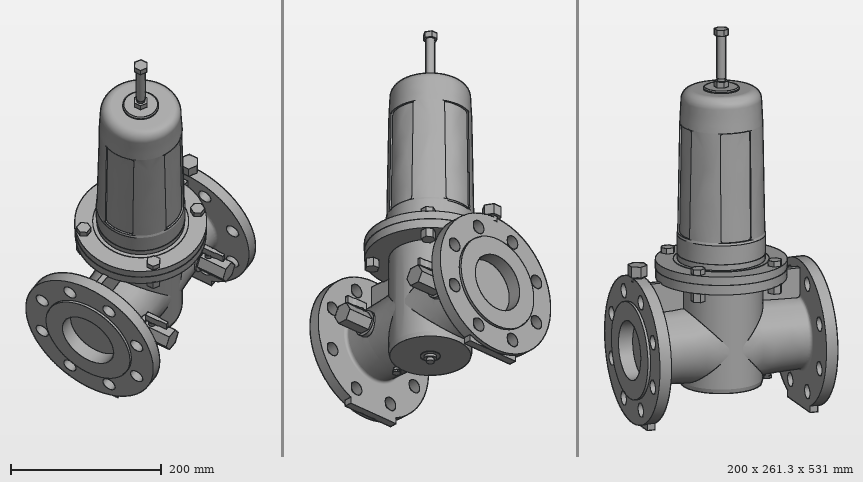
import cadquery as cq
import math


END_Y = 130.5
FLANGE_RADIUS = 100.0
FLANGE_OUTER_Y = 127.0
FLANGE_INNER_Y = 110.5
RAISED_FACE_RADIUS = 66.0
BORE_RADIUS = 40.05
BORE_DEPTH = 20.0
FLANGE_HOLE_COUNT = 8
FLANGE_HOLE_RADIUS = 9.5
FLANGE_HOLE_CIRCLE = 80.0
PIPE_END_RADIUS = 49.0
PIPE_BEND_RADIUS = 50.0
PIPE_BEND_Y = 71.5
PIPE_MIDDLE_RADIUS = 55.0
PIPE_FILLET = 4.0

FOOT_WIDTH = 82.0
FOOT_THICKNESS = 11.0
FOOT_BOTTOM = -100.5

BODY_RADIUS = 55.0
BODY_BOTTOM = -58.0
BODY_CHAMFER_RADIAL = 1.5
BODY_CHAMFER_HEIGHT = 6.0
WEB_THICKNESS = 8.0
WEB_TOP = 89.5

JOINT_BOTTOM = 88.0
JOINT_SPLIT = 101.5
JOINT_TOP = 113.0
LOWER_JOINT_RADIUS = 87.0
UPPER_JOINT_RADIUS = 87.5
JOINT_STEP_RADIUS = 63.5
JOINT_STEP_HEIGHT = 0.5
BOLT_COUNT = 4
BOLT_OFFSET = 54.5
BOLT_HEX_RADIUS = 9.5
BOLT_HEAD_HEIGHT = 7.5
NUT_HEIGHT = 12.5

COLLAR_RADIUS = 59.0
COLLAR_FOOT_RADIUS = 58.5
COLLAR_FOOT_TOP = 121.5
COLLAR_TOP = 150.5
COLLAR_CHAMFER = 3.0
TUBE_BOTTOM_RADIUS = 58.0
CAP_BOTTOM = 301.0
CAP_RADIUS = 55.0
CAP_SHOULDER_RADIUS = 53.5
CAP_SHOULDER_Z = 332.5
CAP_FLAT_RADIUS = 40.0
CAP_TOP = 347.5
PANEL_COUNT = 4
PANEL_WIDTH = 43.0
PANEL_CORNER = 3.5
PANEL_DEPTH = 2.5

TOP = 430.5
WASHER_TOP = 350.5
WASHER_RADIUS = 24.0
WASHER_CHAMFER = 1.5
SCREW_RADIUS = 6.1
SCREW_GROOVE_RADIUS = 5.55
SCREW_GROOVE_HEIGHT = 3.5
SCREW_HEX_RADIUS = 9.5
LOCK_NUT_HEIGHT = 8.0
SCREW_HEAD_HEIGHT = 8.5

TOP_PLUG_Y = 119.5
TOP_PLUG_HEX_RADIUS = 13.0
TOP_PLUG_BOTTOM = 102.5
TOP_PLUG_TOP = 117.0
TOP_PLUG_STEM_RADIUS = 8.0

COCK_Y = 70.0
COCK_HEX_RADIUS = 15.0
COCK_END_X = 94.0
COCK_BOSS_RADIUS = 17.5
COCK_BOSS_X = 53.5
SPINDLE_X = 62.0
SPINDLE_RADIUS = 5.0
LEVER_BOTTOM = 18.0
LEVER_TOP = 28.5
LEVER_WIDE_END_X = 72.0
LEVER_NARROW_START_X = 76.0
LEVER_END_X = 86.0
LEVER_WIDE_WIDTH = 6.5
LEVER_NARROW_WIDTH = 4.0

DRAIN_Y = -65.0
DRAIN_HEX_RADIUS = 6.1
DRAIN_NECK_RADIUS = 4.0
DRAIN_HEAD_TOP = -54.5
DRAIN_BOTTOM = -58.0

BOTTOM_PLUG_STEPS = [(13.0, -59.0), (8.5, -62.5), (5.5, -67.5)]


def cylinder(radius, z_bottom, z_top, x=0, y=0):
    return cq.Workplane("XY", origin=(x, y, z_bottom)).circle(radius).extrude(z_top - z_bottom)


def hexagon(radius, z_bottom, z_top, x=0, y=0, turn=0):
    """Upright hexagonal prism; two corners lie along X unless it is turned about its axis."""
    prism = cq.Workplane("XY").polygon(6, 2 * radius).extrude(z_top - z_bottom)
    return prism.rotate((0, 0, 0), (0, 0, 1), turn).translate((x, y, z_bottom))


def make_pipe_half():
    """Tapered pipe on the -Y side with a flared root, end flange, webs and foot."""
    root_y = FLANGE_INNER_Y - PIPE_FILLET
    flare_radius = PIPE_END_RADIUS + PIPE_FILLET
    flare_middle = (
        flare_radius - PIPE_FILLET * math.cos(math.pi / 4),
        -root_y - PIPE_FILLET * math.sin(math.pi / 4),
    )
    half = (
        cq.Workplane("XY")
        .moveTo(0, 0)
        .lineTo(PIPE_MIDDLE_RADIUS, 0)
        .lineTo(PIPE_BEND_RADIUS, -PIPE_BEND_Y)
        .lineTo(PIPE_END_RADIUS, -root_y)
        .threePointArc(flare_middle, (flare_radius, -FLANGE_INNER_Y))
        .lineTo(FLANGE_RADIUS, -FLANGE_INNER_Y)
        .lineTo(FLANGE_RADIUS, -FLANGE_OUTER_Y)
        .lineTo(RAISED_FACE_RADIUS, -FLANGE_OUTER_Y)
        .lineTo(RAISED_FACE_RADIUS, -END_Y)
        .lineTo(0, -END_Y)
        .close()
        .revolve(360, (0, 0), (0, 1))
    )
    web = cq.Workplane("XY").box(WEB_THICKNESS, FLANGE_INNER_Y, WEB_TOP, centered=(True, False, False))
    foot = cq.Workplane("XY").box(
        FOOT_WIDTH, FOOT_THICKNESS, -FOOT_BOTTOM - PIPE_END_RADIUS, centered=(True, False, False))
    half = half.union(web.translate((0, -FLANGE_INNER_Y, 0)))
    half = half.union(foot.translate((0, -FLANGE_INNER_Y - FOOT_THICKNESS, FOOT_BOTTOM)))
    end_face = cq.Workplane("XZ", origin=(0, -END_Y, 0))
    bore = end_face.circle(BORE_RADIUS).extrude(-BORE_DEPTH)
    holes = (
        end_face
        .polarArray(FLANGE_HOLE_CIRCLE, 180 / FLANGE_HOLE_COUNT, 360, FLANGE_HOLE_COUNT)
        .circle(FLANGE_HOLE_RADIUS)
        .extrude(FLANGE_INNER_Y - END_Y)
    )
    return half.cut(bore).cut(holes)


def make_body_and_bonnet():
    """Everything turned about the vertical axis, from the body bottom to the top of the washer."""
    corner = CAP_TOP - CAP_SHOULDER_Z
    bulge = math.sqrt(0.5)
    return (
        cq.Workplane("XZ")
        .moveTo(0, BODY_BOTTOM)
        .lineTo(BODY_RADIUS - BODY_CHAMFER_RADIAL, BODY_BOTTOM)
        .lineTo(BODY_RADIUS, BODY_BOTTOM + BODY_CHAMFER_HEIGHT)
        .lineTo(BODY_RADIUS, JOINT_BOTTOM)
        .lineTo(LOWER_JOINT_RADIUS, JOINT_BOTTOM)
        .lineTo(LOWER_JOINT_RADIUS, JOINT_SPLIT)
        .lineTo(UPPER_JOINT_RADIUS, JOINT_SPLIT)
        .lineTo(UPPER_JOINT_RADIUS, JOINT_TOP)
        .lineTo(JOINT_STEP_RADIUS, JOINT_TOP)
        .lineTo(JOINT_STEP_RADIUS, JOINT_TOP + JOINT_STEP_HEIGHT)
        .lineTo(COLLAR_FOOT_RADIUS, JOINT_TOP + JOINT_STEP_HEIGHT)
        .lineTo(COLLAR_FOOT_RADIUS, COLLAR_FOOT_TOP)
        .lineTo(COLLAR_RADIUS, COLLAR_FOOT_TOP)
        .lineTo(COLLAR_RADIUS, COLLAR_TOP - COLLAR_CHAMFER)
        .lineTo(TUBE_BOTTOM_RADIUS, COLLAR_TOP)
        .lineTo(CAP_RADIUS, CAP_BOTTOM)
        .lineTo(CAP_SHOULDER_RADIUS, CAP_SHOULDER_Z)
        .threePointArc(
            (CAP_FLAT_RADIUS + (CAP_SHOULDER_RADIUS - CAP_FLAT_RADIUS) * bulge, CAP_SHOULDER_Z + corner * bulge),
            (CAP_FLAT_RADIUS, CAP_TOP))
        .lineTo(WASHER_RADIUS, CAP_TOP)
        .lineTo(WASHER_RADIUS, WASHER_TOP - WASHER_CHAMFER)
        .lineTo(WASHER_RADIUS - WASHER_CHAMFER, WASHER_TOP)
        .lineTo(0, WASHER_TOP)
        .close()
        .revolve(360, (0, 0), (0, 1))
    )


def make_panel_recess():
    """Shallow round-cornered recess that follows the taper of the tube on its -Y side."""
    height = CAP_BOTTOM - COLLAR_TOP
    window = (
        cq.Workplane("XY")
        .box(PANEL_WIDTH, CAP_RADIUS, height)
        .edges("|Y")
        .fillet(PANEL_CORNER)
        .translate((0, -CAP_RADIUS, COLLAR_TOP + height / 2))
    )
    floor = (
        cq.Workplane("XZ")
        .moveTo(0, COLLAR_TOP)
        .lineTo(TUBE_BOTTOM_RADIUS - PANEL_DEPTH, COLLAR_TOP)
        .lineTo(CAP_RADIUS - PANEL_DEPTH, CAP_BOTTOM)
        .lineTo(0, CAP_BOTTOM)
        .close()
        .revolve(360, (0, 0), (0, 1))
    )
    return window.cut(floor)


def make_adjusting_screw():
    lock_nut_top = WASHER_TOP + LOCK_NUT_HEIGHT
    groove_top = lock_nut_top + SCREW_GROOVE_HEIGHT
    head_bottom = TOP - SCREW_HEAD_HEIGHT
    lock_nut = hexagon(SCREW_HEX_RADIUS, CAP_TOP, lock_nut_top)
    groove = cylinder(SCREW_GROOVE_RADIUS, lock_nut_top, groove_top)
    shank = cylinder(SCREW_RADIUS, groove_top, head_bottom)
    head = hexagon(SCREW_HEX_RADIUS, head_bottom, TOP)
    return lock_nut.union(groove).union(shank).union(head)


def make_joint_bolt(x, y, turn):
    head = hexagon(BOLT_HEX_RADIUS, JOINT_TOP, JOINT_TOP + BOLT_HEAD_HEIGHT, x, y, turn)
    nut = hexagon(BOLT_HEX_RADIUS, JOINT_BOTTOM - NUT_HEIGHT, JOINT_BOTTOM, x, y, turn)
    return head.union(nut)


def make_top_plug():
    stem = cylinder(TOP_PLUG_STEM_RADIUS, FLANGE_RADIUS - 5.5, TOP_PLUG_BOTTOM, y=TOP_PLUG_Y)
    head = hexagon(TOP_PLUG_HEX_RADIUS, TOP_PLUG_BOTTOM, TOP_PLUG_TOP, y=TOP_PLUG_Y)
    return stem.union(head)


def make_side_cock(y):
    """Hexagonal cock on a round boss on the +X side of the pipe, with its lever pointing outward."""
    base = cq.Workplane("YZ", origin=(0, y, 0))
    boss = base.circle(COCK_BOSS_RADIUS).extrude(COCK_BOSS_X)
    barrel = base.polygon(6, 2 * COCK_HEX_RADIUS).extrude(COCK_END_X)
    spindle = cylinder(SPINDLE_RADIUS, 0, LEVER_BOTTOM, SPINDLE_X, y)
    lever = (
        cq.Workplane("XY", origin=(0, y, LEVER_BOTTOM))
        .moveTo(COCK_BOSS_X, -LEVER_WIDE_WIDTH / 2)
        .lineTo(LEVER_WIDE_END_X, -LEVER_WIDE_WIDTH / 2)
        .lineTo(LEVER_NARROW_START_X, -LEVER_NARROW_WIDTH / 2)
        .lineTo(LEVER_END_X, -LEVER_NARROW_WIDTH / 2)
        .lineTo(LEVER_END_X, LEVER_NARROW_WIDTH / 2)
        .lineTo(LEVER_NARROW_START_X, LEVER_NARROW_WIDTH / 2)
        .lineTo(LEVER_WIDE_END_X, LEVER_WIDE_WIDTH / 2)
        .lineTo(COCK_BOSS_X, LEVER_WIDE_WIDTH / 2)
        .close()
        .extrude(LEVER_TOP - LEVER_BOTTOM)
    )
    return boss.union(barrel).union(spindle).union(lever)


def make_bottom_plug():
    plug = cq.Workplane("XY")
    for radius, lower_face in BOTTOM_PLUG_STEPS:
        plug = plug.union(cylinder(radius, lower_face, 0))
    return plug


def make_drain_plug():
    neck = cylinder(DRAIN_NECK_RADIUS, DRAIN_HEAD_TOP, 0, y=DRAIN_Y)
    head = hexagon(DRAIN_HEX_RADIUS, DRAIN_BOTTOM, DRAIN_HEAD_TOP, y=DRAIN_Y)
    return neck.union(head)


pipe_half = make_pipe_half()
result = make_body_and_bonnet()

panel_recess = make_panel_recess()
for index in range(PANEL_COUNT):
    result = result.cut(panel_recess.rotate((0, 0, 0), (0, 0, 1), index * 360 / PANEL_COUNT))

result = result.union(pipe_half).union(pipe_half.mirror("XZ"))
result = result.union(make_side_cock(COCK_Y)).union(make_side_cock(-COCK_Y))
result = result.union(make_adjusting_screw())
result = result.union(make_top_plug())
result = result.union(make_bottom_plug())
result = result.union(make_drain_plug())

joint_bolt = make_joint_bolt(BOLT_OFFSET, -BOLT_OFFSET, 0)
for index in range(BOLT_COUNT):
    result = result.union(joint_bolt.rotate((0, 0, 0), (0, 0, 1), index * 360 / BOLT_COUNT))